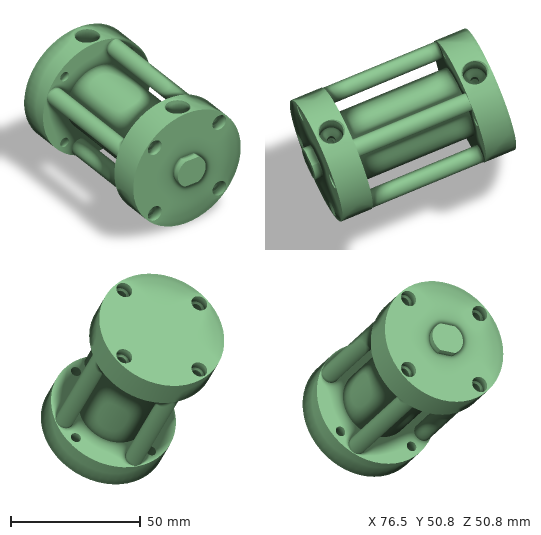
import cadquery as cq
import math

TOTAL_LENGTH = 76.45
CAP_DIAMETER = 50.8
CAP_THICKNESS = 12.7
ROD_PROJECTION = 3.2

CAP_RADIUS = CAP_DIAMETER / 2
FRONT_CAP_OUTER_X = TOTAL_LENGTH - ROD_PROJECTION
FRONT_CAP_INNER_X = FRONT_CAP_OUTER_X - CAP_THICKNESS
REAR_CAP_INNER_X = CAP_THICKNESS
MIDDLE_X = FRONT_CAP_OUTER_X / 2

BARREL_DIAMETER = 28.4
BARREL_SEAT_DEPTH = 5.5

PITCH_RADIUS = 21.55
FIXING_COUNT = 4
FIXING_STEP = 360 / FIXING_COUNT
SCREW_START_ANGLE = FIXING_STEP / 2
TIE_ROD_START_ANGLE = -FIXING_STEP / 4
TIE_ROD_DIAMETER = 7.1
SCREW_HOLE_DIAMETER = 4.05
COUNTERBORE_DIAMETER = 6.4
COUNTERBORE_DEPTH = 3.8

PISTON_ROD_DIAMETER = 13.1
WRENCH_FLAT_WIDTH = 11.5

COUNTERSINK_RADIUS = 5.4
PORT_TOP_RADIUS = 4.8
PORT_BOTTOM_RADIUS = 4.5
PORT_DEPTH = 7.65
FEED_RADIUS = 1.6
FEED_OVERRUN = 0.3
DRILL_POINT_ANGLE = 118.0


def bar(diameter, start_x, end_x, y=0.0, z=0.0):
    """Round bar parallel to X."""
    return (
        cq.Workplane("YZ", origin=(start_x, 0, 0))
        .center(y, z)
        .circle(diameter / 2)
        .extrude(end_x - start_x)
    )


def pitch_points(start_angle):
    """(Y, Z) points spaced evenly around the pitch circle."""
    angles = [math.radians(start_angle + i * FIXING_STEP) for i in range(FIXING_COUNT)]
    return [(PITCH_RADIUS * math.cos(a), PITCH_RADIUS * math.sin(a)) for a in angles]


def drill_point_height(radius):
    """Height of a drill point of the given radius."""
    return radius / math.tan(math.radians(DRILL_POINT_ANGLE / 2))


def port_cutter(x):
    """Volume of a port entering from the top of a cap, revolved about a vertical axis."""
    top = CAP_RADIUS
    bore_top = top - (COUNTERSINK_RADIUS - PORT_TOP_RADIUS)
    bore_bottom = top - PORT_DEPTH
    feed_top = bore_bottom - drill_point_height(PORT_BOTTOM_RADIUS - FEED_RADIUS)
    feed_bottom = BARREL_DIAMETER / 2 - FEED_OVERRUN
    tip = feed_bottom - drill_point_height(FEED_RADIUS)
    return (
        cq.Workplane("XZ", origin=(x, 0, 0))
        .moveTo(0, top)
        .lineTo(COUNTERSINK_RADIUS, top)
        .lineTo(PORT_TOP_RADIUS, bore_top)
        .lineTo(PORT_BOTTOM_RADIUS, bore_bottom)
        .lineTo(FEED_RADIUS, feed_top)
        .lineTo(FEED_RADIUS, feed_bottom)
        .lineTo(0, tip)
        .close()
        .revolve(360, (0, 0, 0), (0, 1, 0))
    )


def make_rear_cap():
    """Rear cap with barrel seat, counterbored screw holes and a port."""
    cap = bar(CAP_DIAMETER, 0, CAP_THICKNESS)
    cap = cap.cut(bar(BARREL_DIAMETER, REAR_CAP_INNER_X - BARREL_SEAT_DEPTH, REAR_CAP_INNER_X))
    for y, z in pitch_points(SCREW_START_ANGLE):
        cap = cap.cut(bar(SCREW_HOLE_DIAMETER, 0, CAP_THICKNESS, y, z))
        cap = cap.cut(bar(COUNTERBORE_DIAMETER, 0, COUNTERBORE_DEPTH, y, z))
    return cap.cut(port_cutter(CAP_THICKNESS / 2))


def make_front_cap():
    """Mirror image of the rear cap, bored through for the piston rod."""
    cap = make_rear_cap().mirror("YZ", (MIDDLE_X, 0, 0))
    return cap.cut(bar(PISTON_ROD_DIAMETER, FRONT_CAP_INNER_X, FRONT_CAP_OUTER_X))


def make_barrel():
    """Plain barrel reaching to the bottom of both seats."""
    return bar(
        BARREL_DIAMETER,
        REAR_CAP_INNER_X - BARREL_SEAT_DEPTH,
        FRONT_CAP_INNER_X + BARREL_SEAT_DEPTH,
    )


def make_tie_rod(y, z):
    """Tie rod spanning the gap between the caps."""
    return bar(TIE_ROD_DIAMETER, REAR_CAP_INNER_X, FRONT_CAP_INNER_X, y, z)


def make_piston_rod():
    """Rod from the barrel end through the front cap, with two wrench flats outside it."""
    shank = bar(PISTON_ROD_DIAMETER, FRONT_CAP_INNER_X + BARREL_SEAT_DEPTH, FRONT_CAP_OUTER_X)
    end = bar(PISTON_ROD_DIAMETER, FRONT_CAP_OUTER_X, TOTAL_LENGTH)
    flats = (
        cq.Workplane("YZ", origin=(FRONT_CAP_OUTER_X, 0, 0))
        .rect(PISTON_ROD_DIAMETER, WRENCH_FLAT_WIDTH)
        .extrude(ROD_PROJECTION)
    )
    return shank.union(end.intersect(flats))


rear_cap = make_rear_cap()
front_cap = make_front_cap()
barrel = make_barrel()
piston_rod = make_piston_rod()
tie_rods = [make_tie_rod(y, z) for y, z in pitch_points(TIE_ROD_START_ANGLE)]

result = cq.Compound.makeCompound(
    [
        rear_cap.val(),
        front_cap.val(),
        barrel.val(),
        piston_rod.val(),
        *[tie_rod.val() for tie_rod in tie_rods],
    ]
)